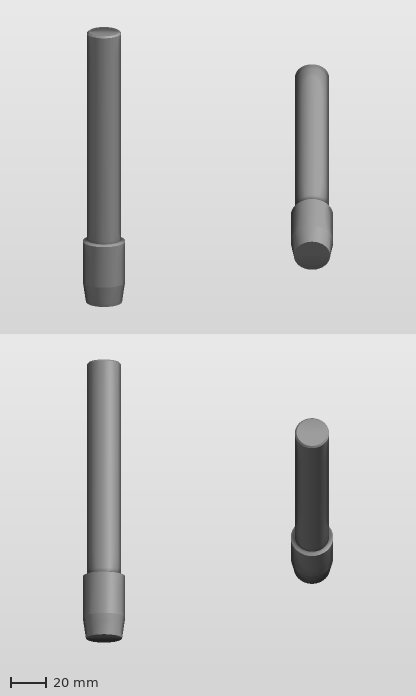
import cadquery as cq

total_length = 160.0

head_diameter = 24.0
lead_tip_diameter = 20.5
lead_length = 12.0
head_cylinder_length = 24.0
head_bevel_height = 1.0

shank_diameter = 19.4
shank_chamfer = 1.0

head_radius = head_diameter / 2
lead_tip_radius = lead_tip_diameter / 2
shank_radius = shank_diameter / 2
head_shoulder_z = lead_length + head_cylinder_length
head_top_z = head_shoulder_z + head_bevel_height


def revolve_about_z(profile_points):
    """Turn a closed (radius, height) outline into a solid about the Z axis."""
    return cq.Workplane("XZ").polyline(profile_points).close().revolve(360, (0, 0), (0, 1))


def make_head():
    """Lead taper, full-diameter cylinder and top bevel in one turned body."""
    return revolve_about_z([
        (0, 0),
        (lead_tip_radius, 0),
        (head_radius, lead_length),
        (head_radius, head_shoulder_z),
        (shank_radius, head_top_z),
        (0, head_top_z),
    ])


def make_shank():
    """Rod from the top of the head to its chamfered end."""
    return revolve_about_z([
        (0, head_top_z),
        (shank_radius, head_top_z),
        (shank_radius, total_length - shank_chamfer),
        (shank_radius - shank_chamfer, total_length),
        (0, total_length),
    ])


head = make_head()
shank = make_shank()

result = cq.Compound.makeCompound([head.val(), shank.val()])